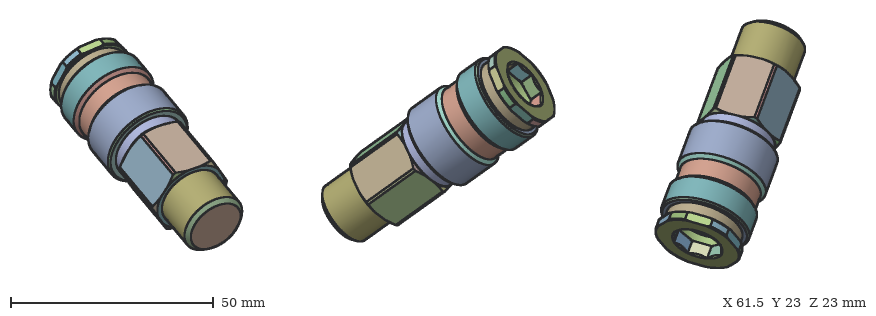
import cadquery as cq
import math

total_length = 61.5

hexagon_sides = 6

flange_length = 2.5
flange_across_flats = 21.0
flange_corner_diameter = 22.0
flange_chamfer = 0.25

front_neck_diameter = 19.75

sleeve_start = 5.8
sleeve_end = 29.3
sleeve_diameter = 23.0
sleeve_chamfer = 0.5
grip_start = 12.35
grip_end = 19.33
grip_diameter = 21.0

rear_neck_diameter = 19.0

hex_start = 32.5
hex_end = 49.5
hex_across_flats = 19.0
hex_corner_diameter = 21.5
hex_face_diameter = 19.3
hex_chamfer_angle = 30.0
hex_turn = 6.0

shank_diameter = 16.62
shank_chamfer = 1.15

mouth_sides = 8
mouth_across_flats = 12.1
mouth_rim_diameter = 13.1
mouth_depth = 3.7
mouth_chamfer_angle = 45.0
chamber_diameter = 13.5
chamber_end = 6.3
bore_diameter = 12.0
bore_end = 20.0
bore_step_diameter = 12.6
bore_step_depth = 0.2


def cylinder(diameter, start, end):
    """Round bar along X from start to end."""
    return cq.Workplane("YZ", origin=(start, 0, 0)).circle(diameter / 2).extrude(end - start)


def prism(sides, across_flats, start, end, turn=0.0):
    """Regular prism along X; the turn runs from +Y towards +Z and starts with a corner on +Y."""
    corner_diameter = across_flats / math.cos(math.pi / sides)
    plane = cq.Workplane("YZ", origin=(start, 0, 0)).transformed(rotate=(0, 0, turn))
    return plane.polygon(sides, corner_diameter).extrude(end - start)


def revolve_about_x(outline):
    """Solid of revolution from (x, radius) points."""
    return cq.Workplane("XY").polyline(outline).close().revolve(360, (0, 0, 0), (1, 0, 0))


def bevelled_bar(diameter, start, end, bevel_length, face_diameter):
    """Round bar along X with the same conical bevel on both ends."""
    return revolve_about_x([
        (start, 0),
        (start, face_diameter / 2),
        (start + bevel_length, diameter / 2),
        (end - bevel_length, diameter / 2),
        (end, face_diameter / 2),
        (end, 0),
    ])


def make_flange():
    face_diameter = flange_corner_diameter - 2 * flange_chamfer
    bar = bevelled_bar(flange_corner_diameter, 0, flange_length, flange_chamfer, face_diameter)
    return bar.intersect(prism(hexagon_sides, flange_across_flats, 0, flange_length))


def make_sleeve():
    face_diameter = sleeve_diameter - 2 * sleeve_chamfer
    bar = bevelled_bar(sleeve_diameter, sleeve_start, sleeve_end, sleeve_chamfer, face_diameter)
    sleeve_radius = sleeve_diameter / 2
    grip_radius = grip_diameter / 2
    slope_length = sleeve_radius - grip_radius
    grip_floor = [
        (grip_start, sleeve_radius),
        (grip_start + slope_length, grip_radius),
        (grip_end - slope_length, grip_radius),
        (grip_end, sleeve_radius),
    ]
    return bar.cut(revolve_about_x(grip_floor))


def make_wrench_hexagon():
    bevel_depth = (hex_corner_diameter - hex_face_diameter) / 2
    bevel_length = bevel_depth * math.tan(math.radians(hex_chamfer_angle))
    bar = bevelled_bar(hex_corner_diameter, hex_start, hex_end, bevel_length, hex_face_diameter)
    return bar.intersect(prism(hexagon_sides, hex_across_flats, hex_start, hex_end, -hex_turn))


def make_shank():
    return cylinder(shank_diameter, hex_end, total_length).faces(">X").chamfer(shank_chamfer)


def make_cavity():
    flat_on_top_turn = 180 / mouth_sides
    mouth = prism(mouth_sides, mouth_across_flats, 0, mouth_depth, flat_on_top_turn)
    rim_radius = mouth_rim_diameter / 2
    rim_cone_length = rim_radius * math.tan(math.radians(mouth_chamfer_angle))
    rim_bevel = revolve_about_x([(0, 0), (0, rim_radius), (rim_cone_length, 0)])
    chamber = cylinder(chamber_diameter, mouth_depth, chamber_end)
    bore = cylinder(bore_diameter, 0, bore_end)
    bore_step = cylinder(bore_step_diameter, mouth_depth, chamber_end + bore_step_depth)
    return mouth.union(rim_bevel).union(chamber).union(bore_step).union(bore)


front_neck = cylinder(front_neck_diameter, flange_length, sleeve_start)
rear_neck = cylinder(rear_neck_diameter, sleeve_end, hex_start)

body = make_flange()
for section in (front_neck, make_sleeve(), rear_neck, make_wrench_hexagon(), make_shank()):
    body = body.union(section)

result = body.cut(make_cavity())